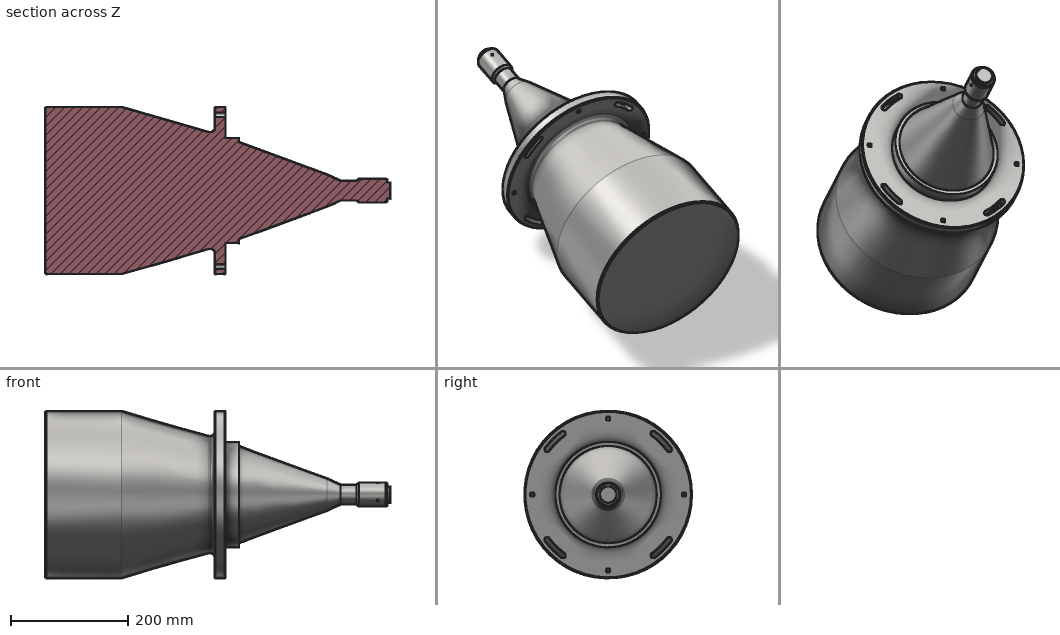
import cadquery as cq

total_length = 588.0
drum_radius = 143.0
drum_length = 130.0
edge_chamfer = 2.5

neck_radius = 100.0
neck_start = 279.0
neck_fillet = 7.0

flange_start = 289.0
flange_end = 307.5
flange_radius = drum_radius
flange_chamfer = 2.0
hub_radius = 90.0
hub_end = 330.5

nose_base_radius = 83.0
nose_break = 480.5
nose_break_radius = 27.5
nose_end = 503.5

stem_radius = 17.0
collar_start = 530.5
collar_radius = 20.5
collar_front_chamfer = 4.5
collar_end = 583.5
collar_rear_chamfer_length = 3.5
collar_rear_chamfer_depth = 2.0
tip_radius = 14.0

collar_hole_count = 3
collar_hole_x = 567.0
collar_hole_diameter = 3.0
collar_hole_depth = 3.0

bolt_circle_radius = 129.5
opening_count = 4
opening_pitch = 360 / opening_count
slot_width = 9.0
slot_sweep = 17.0
small_hole_diameter = 7.0


def turned_body():
    profile = (
        cq.Workplane("XY")
        .moveTo(0, 0)
        .lineTo(0, drum_radius - edge_chamfer)
        .lineTo(edge_chamfer, drum_radius)
        .lineTo(drum_length, drum_radius)
        .lineTo(neck_start, neck_radius)
        .lineTo(flange_start - neck_fillet, neck_radius)
        .radiusArc((flange_start, neck_radius + neck_fillet), -neck_fillet)
        .lineTo(flange_start, flange_radius - flange_chamfer)
        .lineTo(flange_start + flange_chamfer, flange_radius)
        .lineTo(flange_end - flange_chamfer, flange_radius)
        .lineTo(flange_end, flange_radius - flange_chamfer)
        .lineTo(flange_end, hub_radius)
        .lineTo(hub_end, hub_radius)
        .lineTo(hub_end, nose_base_radius)
        .lineTo(nose_break, nose_break_radius)
        .lineTo(nose_end, stem_radius)
        .lineTo(collar_start, stem_radius)
        .lineTo(collar_start + collar_front_chamfer, collar_radius)
        .lineTo(collar_end - collar_rear_chamfer_length, collar_radius)
        .lineTo(collar_end, collar_radius - collar_rear_chamfer_depth)
        .lineTo(collar_end, tip_radius)
        .lineTo(total_length, tip_radius)
        .lineTo(total_length, 0)
        .close()
    )
    return profile.revolve(360, (0, 0, 0), (1, 0, 0))


def flange_hole(diameter, angle):
    """Round cutter through the flange, on the bolt circle at the given angle from +Y."""
    return (
        cq.Workplane("YZ", origin=(flange_start, 0, 0))
        .center(bolt_circle_radius, 0)
        .circle(diameter / 2)
        .extrude(flange_end - flange_start)
        .rotate((0, 0, 0), (1, 0, 0), angle)
    )


def curved_slot(middle_angle):
    """Cutter for a slot that follows the bolt circle and has round ends."""
    start_angle = middle_angle - slot_sweep / 2
    inner_radius = bolt_circle_radius - slot_width / 2
    band = (
        cq.Workplane("XY")
        .moveTo(flange_start, inner_radius)
        .rect(flange_end - flange_start, slot_width, centered=False)
        .revolve(slot_sweep, (0, 0, 0), (1, 0, 0))
        .rotate((0, 0, 0), (1, 0, 0), start_angle)
    )
    first_end = flange_hole(slot_width, start_angle)
    second_end = flange_hole(slot_width, start_angle + slot_sweep)
    return band.union(first_end).union(second_end)


def collar_hole(angle):
    """Radial cutter into the collar surface at the given angle from +Z."""
    return (
        cq.Workplane("XY", origin=(collar_hole_x, 0, collar_radius - collar_hole_depth))
        .circle(collar_hole_diameter / 2)
        .extrude(2 * collar_hole_depth)
        .rotate((0, 0, 0), (1, 0, 0), angle)
    )


result = turned_body()
for index in range(opening_count):
    hole_angle = index * opening_pitch
    result = result.cut(flange_hole(small_hole_diameter, hole_angle))
    result = result.cut(curved_slot(hole_angle + opening_pitch / 2))

for index in range(collar_hole_count):
    result = result.cut(collar_hole(index * 360 / collar_hole_count))